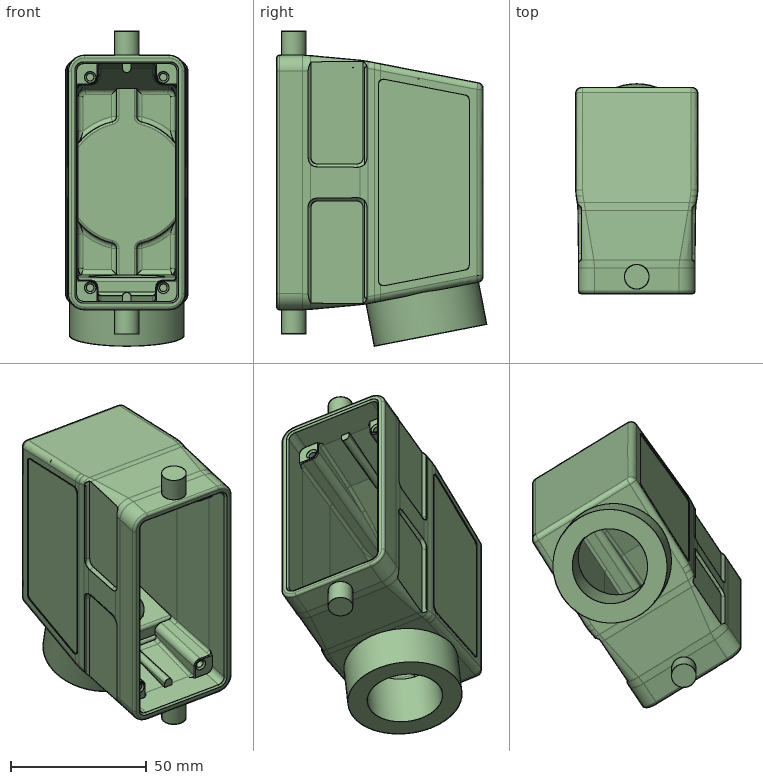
import cadquery as cq
import math


mouth_half_x = 21.5
mouth_half_z = 46.8
mouth_corner = 5.9
mouth_depth = 11.0
mouth_blend = 1.5
rear_half_x = 22.5
rear_corner = 2.5
back_y = 75.9
back_edge_round = 2.3
knee_y = 32.1
knee_half_x = 21.7
knee_half_z = 44.9
knee_blend = 1.4
waist_y = 37.1
waist_blend = 1.0
rear_slope = 11.0
slope_ratio = math.tan(math.radians(rear_slope))
lip_round = 1.0

cavity_mouth_half_x = 18.4
cavity_mouth_half_z = 43.7
cavity_knee_half_x = 18.1
cavity_knee_half_z = 42.0
cavity_back_half_x = 17.9
cavity_corner = 2.5
lip_chamfer = 0.7
pocket_floor_y = 73.3
island_floor_y = 70.1
island_radius = 23.0
neck_half_width = 3.7
island_round = 0.9
pocket_round = 1.9
neck_corner_round = 2.1

platform_front_y = 35.7
platform_front_z = -35.1
platform_back_z = -33.8
platform_floor_z = -41.6
platform_round = 1.3

boss_face_y = 8.8
boss_inner_x = 10.7
boss_inner_z = 35.9
boss_corner = 2.7
boss_edge = 0.3
boss_root_round = 1.2
screw_x = 13.5
screw_z = 38.7
screw_radius = 1.4
screw_mouth_radius = 2.1
screw_depth = 13.9

rib_radius = 1.6
rib_z = 42.1
rib_front_y = 10.0
rib_back_y = 41.7

pin_radius = 4.5
pin_y = 6.3
pin_tip_z = 55.6

barrel_radius = 21.1
barrel_end_y = 56.6
barrel_end_z = -56.2
barrel_length = 19.7
bore_radius = 13.9
bore_length = 27.8

panel_depth = 0.3
panel_front_y = 37.4
panel_back_y = 70.8
panel_margin = 5.5
panel_corner = 1.9
pad_depth = 1.0
pad_front_y = 12.6
pad_back_y = 31.8
pad_inner_z = 6.8
pad_outer_z = 51.0
pad_corner = 2.2
pad_wall_angle = 45
cut_clearance = 0.3


def between(y, y0, value0, y1, value1):
    """Value at depth y on the straight line through two known depths."""
    return value0 + (value1 - value0) * (y - y0) / (y1 - y0)


def rear_half_z(y):
    """Half height of the sloping rear shell at depth y."""
    return knee_half_z - (y - knee_y) * slope_ratio


def ring_loft(sections):
    """Straight-sided loft through rounded rectangles (y, half_x, half_z, corner)."""
    rings = [
        cq.Sketch()
        .rect(2 * half_x, 2 * half_z)
        .vertices()
        .fillet(corner)
        .moved(cq.Location(cq.Vector(0, 0, -y)))
        for y, half_x, half_z, corner in sections
    ]
    return cq.Workplane("XZ").placeSketch(*rings).loft(ruled=True)


def box_between(low, high):
    """Axis-aligned box from its low corner to its high corner."""
    size = [b - a for a, b in zip(low, high)]
    return cq.Workplane("XY").box(*size, centered=False).translate(low)


def entry_cylinder(radius, length):
    """Cylinder along the tilted cable entry axis, from its outer end inward."""
    tilt = math.radians(rear_slope)
    inward = cq.Vector(0, -math.sin(tilt), math.cos(tilt))
    outer_end = cq.Vector(0, barrel_end_y, barrel_end_z)
    return cq.Workplane(cq.Solid.makeCylinder(radius, length, outer_end, inward))


def outer_shell():
    """Solid hood; each bend is softened by a narrow facet between two close rings."""
    taper_y = mouth_depth + mouth_blend
    knee_front_y = knee_y - knee_blend
    knee_rear_y = knee_y + knee_blend
    waist_front_y = waist_y - waist_blend
    waist_rear_y = waist_y + waist_blend

    def taper_ring(y):
        half_x = between(y, mouth_depth, mouth_half_x, knee_y, knee_half_x)
        half_z = between(y, mouth_depth, mouth_half_z, knee_y, knee_half_z)
        corner = between(y, mouth_depth, mouth_corner, knee_y, rear_corner)
        return (y, half_x, half_z, corner)

    def flare_ring(y):
        half_x = between(y, knee_y, knee_half_x, waist_y, rear_half_x)
        return (y, half_x, rear_half_z(y), rear_corner)

    shell = ring_loft([
        (0, mouth_half_x, mouth_half_z, mouth_corner),
        (mouth_depth - mouth_blend, mouth_half_x, mouth_half_z, mouth_corner),
        taper_ring(taper_y),
        taper_ring(knee_front_y),
        flare_ring(knee_rear_y),
        flare_ring(waist_front_y),
        (waist_rear_y, rear_half_x, rear_half_z(waist_rear_y), rear_corner),
        (back_y, rear_half_x, rear_half_z(back_y), rear_corner),
    ])
    shell = shell.faces(">Y").edges().fillet(back_edge_round)
    return shell.faces("<Y").edges().fillet(lip_round)


def corner_boss():
    """Boss filling the +X, +Z corner of the cavity."""
    boss = box_between(
        (boss_inner_x, boss_face_y, boss_inner_z),
        (rear_half_x, pocket_floor_y + 1.2, mouth_half_z),
    )
    boss = boss.edges("<X and <Z").fillet(boss_corner)
    return boss.faces("<Y").edges().chamfer(boss_edge)


def round_boss_roots(hollow):
    """Round the edges where the boss sides run into the cavity walls, roof and floor."""
    near_y = boss_face_y + 2 * boss_edge
    slack = 0.1
    roof_low_z = boss_inner_z + boss_corner + slack
    root_edges = []
    for side in (-1, 1):
        for end in (-1, 1):
            roof_root = cq.selectors.BoxSelector(
                (side * (boss_inner_x - slack), near_y, end * roof_low_z),
                (side * (boss_inner_x + slack), back_y, end * mouth_half_z),
            )
            wall_root = cq.selectors.BoxSelector(
                (side * cavity_back_half_x, near_y, end * (boss_inner_z - slack)),
                (side * mouth_half_x, back_y, end * (boss_inner_z + slack)),
            )
            root_edges += hollow.edges(roof_root).vals()
            root_edges += hollow.edges(wall_root).vals()
    return hollow.newObject(root_edges).fillet(boss_root_round)


def screw_hole():
    """Countersunk blind hole in the +X, +Z boss."""
    sink = screw_mouth_radius - screw_radius
    return (
        cq.Workplane("XY")
        .polyline([
            (0, 0),
            (screw_mouth_radius, 0),
            (screw_radius, sink),
            (screw_radius, screw_depth),
            (0, screw_depth),
        ])
        .close()
        .revolve(360, (0, 0), (0, 1))
        .translate((screw_x, boss_face_y, screw_z))
    )


def in_four_corners(shape):
    """The shape and its mirror images about the X and Z mid-planes."""
    pair = shape.union(shape.mirror("YZ"))
    return pair.union(pair.mirror("XY"))


def floor_island():
    """Raised round floor with a neck running to the roof and the bottom."""
    height = pocket_floor_y - island_floor_y
    base = cq.Workplane("XZ", origin=(0, pocket_floor_y, 0))
    disc = base.circle(island_radius).extrude(height)
    neck = base.rect(2 * neck_half_width, 2 * mouth_half_z).extrude(height)
    island = disc.union(neck)
    junctions = cq.selectors.BoxSelector(
        (-neck_half_width - 1.2, 0, -island_radius - 1.2),
        (neck_half_width + 1.2, back_y, island_radius + 1.2),
    )
    island = island.edges(junctions).edges("|Y").fillet(neck_corner_round)
    return island.faces("<Y").edges().fillet(island_round)


def entry_platform():
    """Thickened bottom wall behind the knee, sloping gently to the back."""
    platform = (
        cq.Workplane("YZ")
        .polyline([
            (platform_front_y, platform_floor_z + platform_round),
            (platform_front_y, platform_front_z),
            (pocket_floor_y, platform_back_z),
            (pocket_floor_y, -mouth_half_z),
            (platform_front_y - platform_round, -mouth_half_z),
            (platform_front_y - platform_round, platform_floor_z),
        ])
        .radiusArc((platform_front_y, platform_floor_z + platform_round), platform_round)
        .close()
        .extrude(rear_half_x, both=True)
    )
    front_edge = cq.selectors.NearestToPointSelector((0, platform_front_y, platform_front_z))
    return platform.edges(front_edge).fillet(platform_round)


def roof_rib():
    """Half-round rib along the cavity roof."""
    length = rib_back_y - rib_front_y
    front = cq.Workplane("XZ", origin=(0, rib_front_y, rib_z))
    rounded = front.circle(rib_radius).extrude(-length)
    root = box_between((-rib_radius, rib_front_y, rib_z), (rib_radius, rib_back_y, mouth_half_z))
    return rounded.union(root)


def rib_flare():
    """Concave flare where the upper rib would meet a wall standing at the platform front."""
    start_y = platform_front_y - platform_round
    outer_radius = rib_radius + platform_round
    return (
        cq.Workplane("XY")
        .moveTo(0, start_y)
        .lineTo(rib_radius, start_y)
        .radiusArc((outer_radius, platform_front_y), platform_round)
        .lineTo(0, platform_front_y)
        .close()
        .revolve(360, (0, 0), (0, 1))
        .translate((0, 0, rib_z))
    )


def cavity():
    """Hollow of the hood, shaped around the bosses, ribs and raised floor."""
    back_half_z = cavity_knee_half_z - (pocket_floor_y - knee_y) * slope_ratio
    hollow = ring_loft([
        (0, cavity_mouth_half_x, cavity_mouth_half_z, cavity_corner),
        (mouth_depth, cavity_mouth_half_x, cavity_mouth_half_z, cavity_corner),
        (knee_y, cavity_knee_half_x, cavity_knee_half_z, cavity_corner),
        (pocket_floor_y, cavity_back_half_x, back_half_z, cavity_corner),
    ])
    hollow = round_boss_roots(hollow.cut(in_four_corners(corner_boss())))
    hollow = hollow.cut(entry_platform())
    hollow = hollow.cut(floor_island())
    hollow = hollow.faces(">Y").edges().fillet(pocket_round)
    rib = roof_rib()
    hollow = hollow.cut(rib).cut(rib.mirror("XY"))
    return hollow.cut(rib_flare().mirror("XY"))


def lip_opening():
    """Frustum that bevels the inner edge of the mouth."""
    return ring_loft([
        (
            0,
            cavity_mouth_half_x + lip_chamfer,
            cavity_mouth_half_z + lip_chamfer,
            cavity_corner + lip_chamfer,
        ),
        (lip_chamfer, cavity_mouth_half_x, cavity_mouth_half_z, cavity_corner),
    ])


def side_panel():
    """Shallow recess in the +X rear face, parallel to its sloping edges."""
    front_z = rear_half_z(panel_front_y) - panel_margin
    back_z = rear_half_z(panel_back_y) - panel_margin
    return (
        cq.Workplane("YZ", origin=(rear_half_x - panel_depth, 0, 0))
        .polyline([
            (panel_front_y, -front_z),
            (panel_front_y, front_z),
            (panel_back_y, back_z),
            (panel_back_y, -back_z),
        ])
        .close()
        .extrude(panel_depth + cut_clearance)
        .edges("|X")
        .fillet(panel_corner)
    )


def side_pad():
    """Recess with sloping walls in the +X face, open past the upper edge."""
    outline = (
        cq.Sketch()
        .rect(pad_back_y - pad_front_y, pad_outer_z - pad_inner_z)
        .vertices()
        .fillet(pad_corner)
    )
    middle = (
        mouth_half_x - pad_depth,
        (pad_front_y + pad_back_y) / 2,
        (pad_inner_z + pad_outer_z) / 2,
    )
    return (
        cq.Workplane("YZ", origin=middle)
        .placeSketch(outline)
        .extrude(pad_depth + cut_clearance, taper=-pad_wall_angle)
    )


def locking_pin():
    """Pin on the upper wall, rooted inside the wall thickness."""
    root_z = (cavity_mouth_half_z + mouth_half_z) / 2
    return (
        cq.Workplane("XY", origin=(0, pin_y, root_z))
        .circle(pin_radius)
        .extrude(pin_tip_z - root_z)
    )


hood = outer_shell()
panel = side_panel()
hood = hood.cut(panel).cut(panel.mirror("YZ"))
hood = hood.cut(in_four_corners(side_pad()))
hood = hood.union(entry_cylinder(barrel_radius, barrel_length))
hood = hood.cut(cavity())
hood = hood.cut(lip_opening())
hood = hood.cut(entry_cylinder(bore_radius, bore_length))
hood = hood.cut(in_four_corners(screw_hole()))
pin = locking_pin()
result = hood.union(pin).union(pin.mirror("XY"))